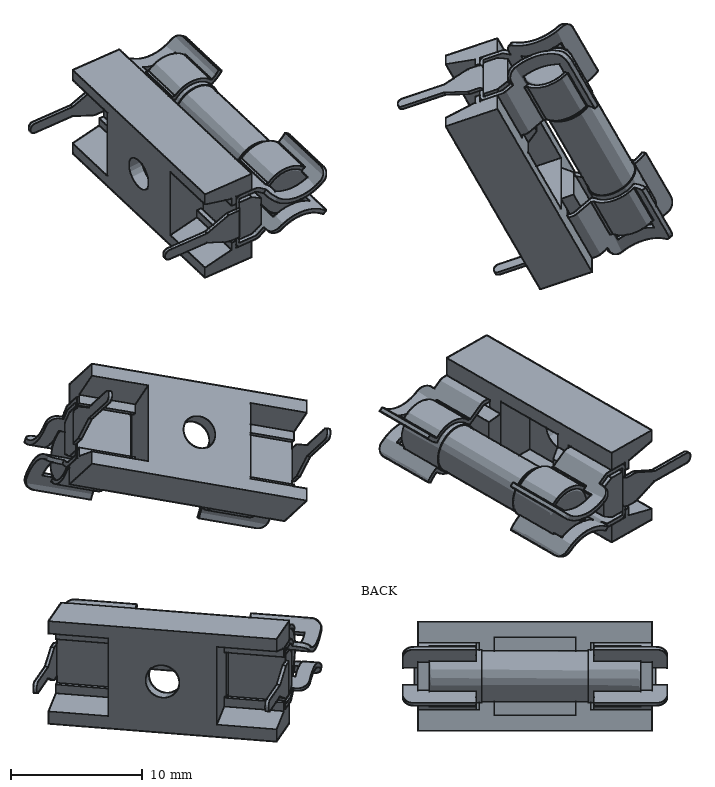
import cadquery as cq
import math


BASE_LENGTH = 17.8
BASE_DEPTH = 4.3
BASE_HEIGHT = 8.29
WALL = 1.17
CAVITY_LENGTH = 6.15
HOLE_RADIUS = 1.3

PLATE_SHEET = 0.28
ARM_SHEET = 0.36
CLIP_LENGTH = 20.12
CLIP_INNER_X = 4.47
PLATE_FRONT_Y = 2.85
CLIP_HALF_HEIGHT = 2.54
CORNER_OUTER_RADIUS = 0.42
CORNER_INNER_RADIUS = 0.1
ELBOW_RADIUS = 0.56
ELBOW_Y = 4.6
ARM_SLOPE = 36.0
LEAD_RADIUS = 3.23
LEAD_CENTRE_Y = 7.97
TIP_Y = 10.72
FRAME_END_Y = 5.51
FRAME_CORNER = 0.85
WINDOW_WIDTH = 2.98
GRIP_RADIUS = 2.31
GRIP_SHELF_Z = 1.6
GRIP_SHELF_HALF_WIDTH = 1.9
GRIP_SHELF_THICKNESS = 0.28

TERMINAL_HALF_WIDTH = 1.33
PIN_HALF_WIDTH = 0.46
PIN_CORNER_RADIUS = 0.42
SHOULDER_Y = 2.0
PIN_END_Y = TIP_Y - 14.59

FUSE_Y = 8.07
CAP_RADIUS = 2.01
CAP_INNER_X = 4.05
CAP_OUTER_X = 8.05
CAP_EDGE_RADIUS = 0.18
TUBE_RADIUS = 1.93

POCKET_MOUTH_HALF = 3.14
TAB_FRONT_Y = 2.45
BOSS_HALF_HEIGHT = 1.83
BOSS_BACK_Y = 5.17
BOSS_TOP_HALF_HEIGHT = 1.3
BOSS_END_TAPER = 0.38

BASE_END_X = BASE_LENGTH / 2
CAVITY_END_X = CAVITY_LENGTH / 2
POCKET_END_X = CAVITY_END_X + WALL
PLATE_BACK_Y = PLATE_FRONT_Y + PLATE_SHEET
CLIP_OUTER_X = CLIP_LENGTH / 2


def both_ends(solid):
    """The given +X end solid and its mirror image at the -X end."""
    return [solid, solid.mirror("YZ")]


def prism_along_x(outline, start_x, end_x):
    return cq.Workplane("YZ", origin=(start_x, 0, 0)).polyline(outline).close().extrude(end_x - start_x)


def mirrored_outline(upper):
    """Close an upper (Y, Z) outline with its mirror image below Z = 0."""
    return upper + [(y, -z) for y, z in reversed(upper)]


def rod_along_x(radius, start_x, end_x):
    return cq.Workplane("YZ", origin=(start_x, FUSE_Y, 0)).circle(radius).extrude(end_x - start_x)


def clip_pocket():
    """Tapered front pocket, narrow opening between two tabs, then the slot for the clip."""
    upper = [
        (0, POCKET_MOUTH_HALF),
        (TAB_FRONT_Y, CLIP_HALF_HEIGHT),
        (TAB_FRONT_Y, BOSS_HALF_HEIGHT),
        (PLATE_FRONT_Y, BOSS_HALF_HEIGHT),
        (PLATE_FRONT_Y, CLIP_HALF_HEIGHT),
        (BASE_DEPTH, CLIP_HALF_HEIGHT),
    ]
    return prism_along_x(mirrored_outline(upper), POCKET_END_X, BASE_END_X)


def boss():
    """Block inside the clip, tapered where it stands out of the back of the base."""
    upper = [
        (PLATE_BACK_Y, BOSS_HALF_HEIGHT),
        (BASE_DEPTH, BOSS_HALF_HEIGHT),
        (BOSS_BACK_Y, BOSS_TOP_HALF_HEIGHT),
    ]
    block = prism_along_x(mirrored_outline(upper), CAVITY_END_X, BASE_END_X)
    end_taper = (
        cq.Workplane("XY")
        .polyline([
            (CAVITY_END_X, BASE_DEPTH),
            (CAVITY_END_X, BOSS_BACK_Y),
            (CAVITY_END_X + BOSS_END_TAPER, BOSS_BACK_Y),
        ])
        .close()
        .extrude(BOSS_HALF_HEIGHT, both=True)
    )
    return block.cut(end_taper)


def make_base():
    body = cq.Workplane("XY").box(BASE_LENGTH, BASE_DEPTH, BASE_HEIGHT).translate((0, BASE_DEPTH / 2, 0))
    cavity_depth = BASE_DEPTH - WALL
    cavity = cq.Workplane("XY").box(CAVITY_LENGTH, cavity_depth, BASE_HEIGHT - 2 * WALL)
    body = body.cut(cavity.translate((0, WALL + cavity_depth / 2, 0)))
    hole = cq.Workplane("XZ").circle(HOLE_RADIUS).extrude(-BASE_DEPTH)
    body = body.cut(hole)
    for pocket in both_ends(clip_pocket()):
        body = body.cut(pocket)
    for block in both_ends(boss()):
        body = body.union(block)
    return body


SLOPE = math.radians(ARM_SLOPE)
ARM_Z = CLIP_HALF_HEIGHT - ARM_SHEET / 2
ELBOW_CENTRE_Z = ARM_Z - ELBOW_RADIUS
ELBOW_END = (ELBOW_Y + ELBOW_RADIUS * math.sin(SLOPE), ELBOW_CENTRE_Z + ELBOW_RADIUS * math.cos(SLOPE))
LEAD_START_Y = LEAD_CENTRE_Y - LEAD_RADIUS * math.sin(SLOPE)
LEAD_START_Z = ELBOW_END[1] - (LEAD_START_Y - ELBOW_END[0]) * math.tan(SLOPE)
LEAD_CENTRE_Z = LEAD_START_Z + LEAD_RADIUS * math.cos(SLOPE)
TIP_ANGLE = math.asin((TIP_Y - LEAD_CENTRE_Y) / (LEAD_RADIUS + ARM_SHEET / 2))


def lead_point(angle):
    """Point (Y, Z) of the curved arm end, at an angle from its point nearest the fuse axis."""
    return (LEAD_CENTRE_Y + LEAD_RADIUS * math.sin(angle), LEAD_CENTRE_Z - LEAD_RADIUS * math.cos(angle))


def elbow_point(angle):
    return (ELBOW_Y + ELBOW_RADIUS * math.sin(angle), ELBOW_CENTRE_Z + ELBOW_RADIUS * math.cos(angle))


def curved_end_path():
    """Middle line of the upper arm's curved end, from the tip to the straight slope."""
    return cq.Workplane("YZ").moveTo(*lead_point(TIP_ANGLE)).threePointArc(lead_point(0), lead_point(-SLOPE))


def swept_sheet(path, start_x, end_x):
    """Sweep the sheet section along a path that starts at the tip of the upper arm."""
    tip_y, tip_z = lead_point(TIP_ANGLE)
    tip_plane = cq.Plane(
        origin=((start_x + end_x) / 2, tip_y, tip_z),
        xDir=(1, 0, 0),
        normal=(0, -math.cos(TIP_ANGLE), -math.sin(TIP_ANGLE)),
    )
    return cq.Workplane(tip_plane).rect(end_x - start_x, ARM_SHEET).sweep(path)


def bracket():
    """Plate across the front with the straight, parallel part of both arms."""
    width = BASE_END_X - CLIP_INNER_X
    outer_depth = ELBOW_Y - PLATE_FRONT_Y
    inner_depth = ELBOW_Y - PLATE_BACK_Y
    inner_height = 2 * (CLIP_HALF_HEIGHT - ARM_SHEET)
    centre_x = CLIP_INNER_X + width / 2
    outside = cq.Workplane("XY").box(width, outer_depth, 2 * CLIP_HALF_HEIGHT)
    outside = outside.edges("|X and <Y").fillet(CORNER_OUTER_RADIUS)
    outside = outside.translate((centre_x, ELBOW_Y - outer_depth / 2, 0))
    inside = cq.Workplane("XY").box(width, inner_depth, inner_height)
    inside = inside.edges("|X and <Y").fillet(CORNER_INNER_RADIUS)
    inside = inside.translate((centre_x, ELBOW_Y - inner_depth / 2, 0))
    return outside.cut(inside)


def bent_arm():
    """Upper arm from its tip to the end of the elbow."""
    path = (
        curved_end_path()
        .lineTo(*elbow_point(SLOPE))
        .threePointArc(elbow_point(SLOPE / 2), elbow_point(0))
    )
    return swept_sheet(path, CLIP_INNER_X, BASE_END_X)


def frame():
    """Wide end of the upper arm, which reaches past the end of the fuse, with rounded corners."""
    end_z = ELBOW_END[1] - (FRAME_END_Y - ELBOW_END[0]) * math.tan(SLOPE)
    path = curved_end_path().lineTo(FRAME_END_Y, end_z)
    sheet = swept_sheet(path, CLIP_INNER_X, CLIP_OUTER_X)
    tip = lead_point(TIP_ANGLE)
    for y, z in [tip, (FRAME_END_Y, end_z)]:
        corner = cq.selectors.NearestToPointSelector((CLIP_OUTER_X, y, z))
        sheet = sheet.edges(corner).fillet(FRAME_CORNER)
    return sheet


def grip():
    """Part of a ring around the cap, with a flat shelf filling the grooves beside it."""
    length = CAP_OUTER_X - CLIP_INNER_X
    ring = rod_along_x(GRIP_RADIUS, CLIP_INNER_X, CAP_OUTER_X)
    reach = (
        cq.Workplane("YZ", origin=(CLIP_INNER_X, LEAD_CENTRE_Y, LEAD_CENTRE_Z))
        .circle(LEAD_RADIUS)
        .extrude(length)
    )
    shelf = cq.Workplane("XY").box(length, 2 * GRIP_SHELF_HALF_WIDTH, GRIP_SHELF_THICKNESS)
    shelf = shelf.translate((CLIP_INNER_X + length / 2, FUSE_Y, GRIP_SHELF_Z - GRIP_SHELF_THICKNESS / 2))
    return ring.intersect(reach).union(shelf)


def window():
    """Opening with radial end walls that leaves the outer frame free of the grip."""
    half_angle = math.asin(WINDOW_WIDTH / 2 / (LEAD_RADIUS - ARM_SHEET / 2))
    half_width_at_axis = LEAD_CENTRE_Z * math.tan(half_angle)
    wedge = [
        (LEAD_CENTRE_Y, LEAD_CENTRE_Z),
        (LEAD_CENTRE_Y - half_width_at_axis, 0),
        (LEAD_CENTRE_Y + half_width_at_axis, 0),
    ]
    return prism_along_x(wedge, CLIP_INNER_X, BASE_END_X)


def terminal():
    """Solder tab bent off the end of the plate, narrowing to a pin with a rounded end."""
    upper = [
        (PLATE_FRONT_Y, TERMINAL_HALF_WIDTH),
        (SHOULDER_Y, TERMINAL_HALF_WIDTH),
        (0, PIN_HALF_WIDTH),
        (PIN_END_Y, PIN_HALF_WIDTH),
    ]
    tab = prism_along_x(mirrored_outline(upper), BASE_END_X, BASE_END_X + PLATE_SHEET)
    tab = tab.edges("|X and <Y").fillet(PIN_CORNER_RADIUS)
    bend_reach = PLATE_SHEET * math.sqrt(0.5)
    bend = (
        cq.Workplane("XY")
        .moveTo(BASE_END_X, PLATE_FRONT_Y)
        .lineTo(BASE_END_X + PLATE_SHEET, PLATE_FRONT_Y)
        .threePointArc(
            (BASE_END_X + bend_reach, PLATE_FRONT_Y + bend_reach),
            (BASE_END_X, PLATE_BACK_Y),
        )
        .close()
        .extrude(TERMINAL_HALF_WIDTH, both=True)
    )
    return tab.union(bend)


def make_clip():
    """Clip at the +X end."""
    curved_sheet = bent_arm().union(frame()).cut(window())
    bore = rod_along_x(CAP_RADIUS, CLIP_INNER_X, CAP_OUTER_X)
    upper = curved_sheet.union(grip()).cut(bore)
    return bracket().union(upper).union(upper.mirror("XY")).union(terminal())


def make_cap():
    """End cap at the +X end."""
    return rod_along_x(CAP_RADIUS, CAP_INNER_X, CAP_OUTER_X).faces(">X").edges().fillet(CAP_EDGE_RADIUS)


def make_tube():
    return rod_along_x(TUBE_RADIUS, -CAP_INNER_X, CAP_INNER_X)


base = make_base()
clips = both_ends(make_clip())
caps = both_ends(make_cap())
tube = make_tube()

result = cq.Compound.makeCompound([
    base.val(),
    *[clip.val() for clip in clips],
    *[cap.val() for cap in caps],
    tube.val(),
])